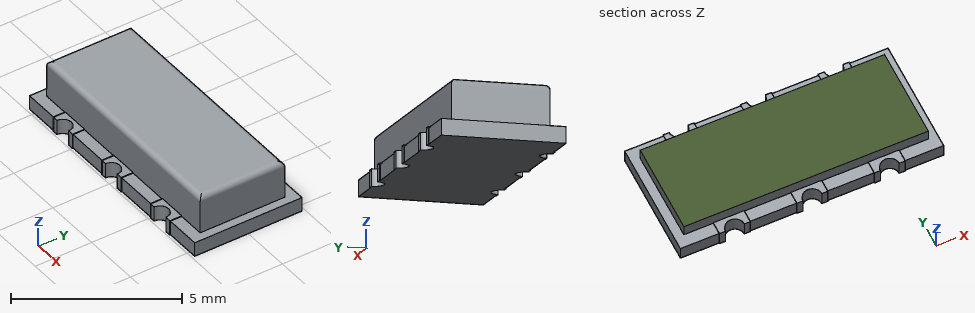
import cadquery as cq

base_length = 8.5
base_width = 3.8
base_height = 0.5

lid_margin = 0.3
lid_length = base_length - 2 * lid_margin
lid_width = 3.0
overall_height = 1.8
lid_edge_radius = 0.18

terminal_count = 3
terminal_pitch = 2.5
terminal_length = 1.0
plating_thickness = 0.025
castellation_radius = 0.3

terminal_height = base_height + plating_thickness
terminal_edge_y = base_width / 2 + plating_thickness
terminal_depth = terminal_edge_y - lid_width / 2


def block(length, width, height):
    """Box centred on X and Y, standing on Z = 0."""
    return cq.Workplane("XY").box(length, width, height, centered=(True, True, False))


def terminal_centres():
    """X position and side (-1 or +1 in Y) of every terminal."""
    first_x = -terminal_pitch * (terminal_count - 1) / 2
    return [(first_x + i * terminal_pitch, side) for i in range(terminal_count) for side in (-1, 1)]


def make_lid():
    """Lid body from the base underside up to the full height."""
    return block(lid_length, lid_width, overall_height).faces(">Z").edges().fillet(lid_edge_radius)


def make_terminal(x, side):
    """Plated strip from the lid wall to just beyond the base edge."""
    centre_y = side * (terminal_edge_y - terminal_depth / 2)
    return block(terminal_length, terminal_depth, terminal_height).translate((x, centre_y, 0))


def make_castellation(x, side):
    """Half-round notch cutter centred on the outer edge of a terminal."""
    centre_y = side * terminal_edge_y
    return cq.Workplane("XY").center(x, centre_y).circle(castellation_radius).extrude(terminal_height)


result = block(base_length, base_width, base_height).union(make_lid())
for terminal_x, terminal_side in terminal_centres():
    result = result.union(make_terminal(terminal_x, terminal_side))
    result = result.cut(make_castellation(terminal_x, terminal_side))